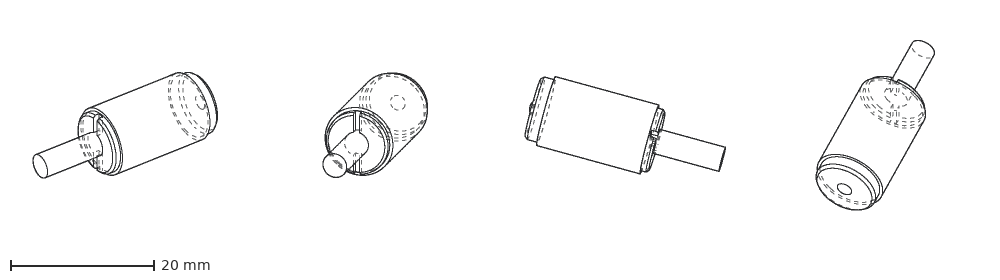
import cadquery as cq
import math

total_length = 27.85
body_diameter = 10.0
shoulder_diameter = 9.08
pin_diameter = 3.5

pin_length = 9.45
front_shoulder_length = 1.1
body_length = 15.0
rear_shoulder_length = 1.9
front_chamfer_length = 0.33
rear_chamfer_length = 0.45
chamfer_depth = 0.35

dome_base_radius = 1.1

slot_width = 0.92
slot_depth = 0.92

front_face = pin_length
body_start = front_face + front_shoulder_length
body_end = body_start + body_length
rear_face = body_end + rear_shoulder_length
dome_height = total_length - rear_face

body_radius = body_diameter / 2
shoulder_radius = shoulder_diameter / 2
chamfered_radius = shoulder_radius - chamfer_depth
pin_radius = pin_diameter / 2

dome_radius = (dome_base_radius**2 + dome_height**2) / (2 * dome_height)
dome_half_angle = math.asin(dome_base_radius / dome_radius) / 2
dome_middle = (
    dome_radius * math.sin(dome_half_angle),
    total_length - dome_radius * (1 - math.cos(dome_half_angle)),
)


def make_housing():
    """Revolve the stepped body, both chamfered shoulders and the dome about Y."""
    return (
        cq.Workplane("XY")
        .moveTo(0, front_face)
        .lineTo(chamfered_radius, front_face)
        .lineTo(shoulder_radius, front_face + front_chamfer_length)
        .lineTo(shoulder_radius, body_start)
        .lineTo(body_radius, body_start)
        .lineTo(body_radius, body_end)
        .lineTo(shoulder_radius, body_end)
        .lineTo(shoulder_radius, rear_face - rear_chamfer_length)
        .lineTo(chamfered_radius, rear_face)
        .lineTo(dome_base_radius, rear_face)
        .threePointArc(dome_middle, (0, total_length))
        .close()
        .revolve(360, (0, 0, 0), (0, 1, 0))
    )


def make_slot():
    """Vertical slot cut into the front face across the full shoulder."""
    return (
        cq.Workplane("XY")
        .box(slot_width, slot_depth, body_diameter, centered=(True, False, True))
        .translate((0, front_face, 0))
    )


def make_pin():
    """Round pin from its free end to the bottom of the slot."""
    return cq.Workplane("XZ").circle(pin_radius).extrude(-(front_face + slot_depth))


result = make_housing().cut(make_slot()).union(make_pin())